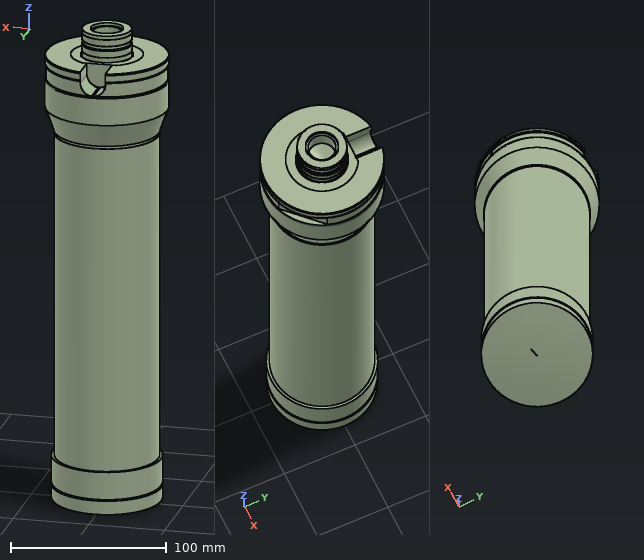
import cadquery as cq

top_z = 320.0
flange_top = 302.5
flange_bottom = 296.0
collar_top = 286.7
cone_top = 267.5
cone_bottom = 251.5
tube_top = 249.5
end_cap_top = 30.7
end_groove_bottom = 11.2
end_groove_top = 12.0
dome_edge = 2.0

outer_dia = 80.0
neck_dia = 78.5
cone_end_dia = 68.5
tube_dia = 68.0
end_cap_dia = 71.7
end_groove_dia = 71.0
edge_chamfer_height = 1.0
edge_set_in = 0.3

flat_distance = 35.5
flat_angle = -45.0

slot_width = 16.5
slot_floor = 286.7
slot_inner_y = 20.5
slit_width = 1.3
slit_depth = 1.0

base_dia = 46.7
base_bottom = slot_floor
stem_dia = 32.3
groove_dia = 31.7
root_dia = 32.0
relief_dia = 34.0
relief_depth = 1.0
rim_dia = 32.0
rim_height = 2.5
groove_top = 313.0
groove_bottom = 310.7
groove_step = 1.0
root_top = 305.3
mouth_dia = 21.0
mouth_depth = 2.0
bore_dia = 18.0
bore_depth = 12.8
bore_tip_height = 3.2


def cylinder(diameter, bottom, top):
    """Vertical cylinder on the Z axis between two heights."""
    return cq.Workplane("XY").workplane(offset=bottom).circle(diameter / 2).extrude(top - bottom)


def base_shape():
    """Round base with a flat facing the slot."""
    length = base_dia / 2 + slot_inner_y
    depth = flange_top - base_bottom
    keep = cq.Workplane("XY").box(base_dia, length, depth, centered=(True, False, False))
    keep = keep.translate((0, -base_dia / 2, base_bottom))
    return cylinder(base_dia, base_bottom, flange_top).intersect(keep)


def slot_shape():
    """Slot running out through the +Y side, with a half-round floor and a narrow slit along it."""
    radius = slot_width / 2
    channel = (
        cq.Workplane("XZ", origin=(0, slot_inner_y, 0))
        .moveTo(-radius, flange_top)
        .lineTo(-radius, slot_floor + radius)
        .threePointArc((0, slot_floor), (radius, slot_floor + radius))
        .lineTo(radius, flange_top)
        .close()
        .extrude(-outer_dia)
    )
    slit = cq.Workplane("XY").box(
        slit_width, outer_dia, radius + slit_depth, centered=(True, False, False)
    )
    return channel.union(slit.translate((0, slot_inner_y, slot_floor - slit_depth)))


def neck_flat():
    """Block that cuts the flat on the side of the neck."""
    block = cq.Workplane("XY").box(
        outer_dia, outer_dia, flange_bottom - collar_top, centered=(False, True, False)
    )
    return block.translate((flat_distance, 0, collar_top)).rotate((0, 0, 0), (0, 0, 1), flat_angle)


def make_housing():
    """Revolved housing with its slot, neck flat and connector recess."""
    dome_middle = end_cap_dia / 4
    dome_middle_height = dome_edge / 4
    body = (
        cq.Workplane("XZ")
        .moveTo(0, 0)
        .threePointArc((dome_middle, dome_middle_height), (end_cap_dia / 2, dome_edge))
        .lineTo(end_cap_dia / 2, end_groove_bottom)
        .lineTo(end_groove_dia / 2, end_groove_bottom)
        .lineTo(end_groove_dia / 2, end_groove_top)
        .lineTo(end_cap_dia / 2, end_groove_top)
        .lineTo(end_cap_dia / 2, end_cap_top)
        .lineTo(tube_dia / 2, end_cap_top)
        .lineTo(tube_dia / 2, tube_top)
        .lineTo(cone_end_dia / 2, tube_top)
        .lineTo(cone_end_dia / 2, cone_bottom)
        .lineTo(outer_dia / 2, cone_top)
        .lineTo(outer_dia / 2, collar_top - edge_chamfer_height)
        .lineTo(outer_dia / 2 - edge_set_in, collar_top)
        .lineTo(neck_dia / 2, collar_top)
        .lineTo(neck_dia / 2, flange_bottom)
        .lineTo(outer_dia / 2 - edge_set_in, flange_bottom)
        .lineTo(outer_dia / 2, flange_bottom + edge_chamfer_height)
        .lineTo(outer_dia / 2, flange_top - edge_chamfer_height)
        .lineTo(outer_dia / 2 - edge_set_in, flange_top)
        .lineTo(0, flange_top)
        .close()
        .revolve(360, (0, 0, 0), (0, 1, 0))
    )
    return body.cut(slot_shape()).cut(neck_flat()).cut(base_shape())


def bore_shape():
    """Stepped bore with a conical end."""
    bore_end = top_z - bore_depth
    return (
        cq.Workplane("XZ")
        .moveTo(0, top_z)
        .lineTo(mouth_dia / 2, top_z)
        .lineTo(mouth_dia / 2, top_z - mouth_depth)
        .lineTo(bore_dia / 2, top_z - mouth_depth)
        .lineTo(bore_dia / 2, bore_end)
        .lineTo(0, bore_end - bore_tip_height)
        .close()
        .revolve(360, (0, 0, 0), (0, 1, 0))
    )


def make_connector():
    """Stepped hollow stem in a shallow round relief on its flat-sided base."""
    stem_sections = [
        (root_dia, flange_top - relief_depth, root_top),
        (stem_dia, root_top, groove_bottom - groove_step),
        (rim_dia, groove_bottom - groove_step, groove_bottom),
        (groove_dia, groove_bottom, groove_top),
        (stem_dia, groove_top, top_z - rim_height),
        (rim_dia, top_z - rim_height, top_z),
    ]
    relief = cylinder(relief_dia, flange_top - relief_depth, flange_top)
    body = base_shape().cut(relief)
    for diameter, bottom, top in stem_sections:
        body = body.union(cylinder(diameter, bottom, top))
    return body.cut(bore_shape())


housing = make_housing()
connector = make_connector()
result = cq.Compound.makeCompound([housing.val(), connector.val()])